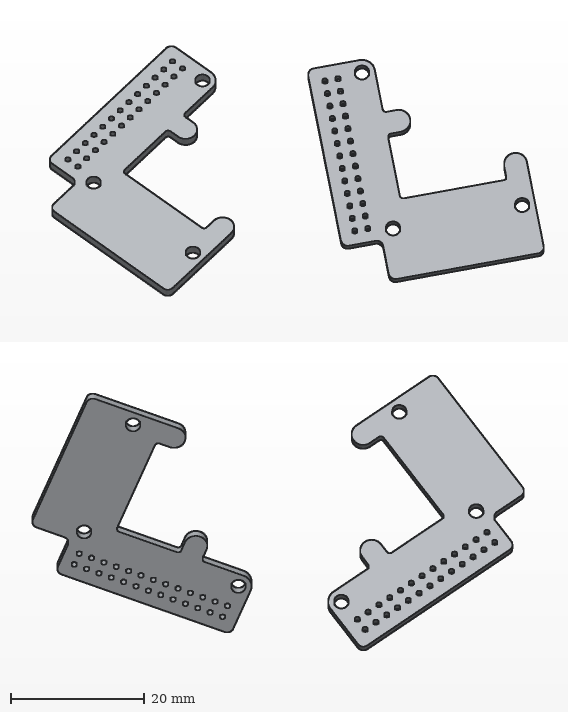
import cadquery as cq

width = 29.75
height = 34.85
thickness = 1.6

arm_width = 10.0
arm_bottom = 6.5
foot_left = 6.05
foot_top = 12.27

tongue_width = 3.5
tongue_radius = tongue_width / 2
tab_tip = 13.77
tab_center_y = 24.35
finger_tip = 16.18
finger_center_x = width - tongue_radius

outer_radius = 1.0
inner_radius = 0.5

mount_diameter = 2.2
mount_edge_offset = 2.0
mount_left_x = arm_width - mount_edge_offset
mount_right_x = width - mount_edge_offset
mount_top_y = height - mount_edge_offset
mount_bottom_y = 7.9

pin_diameter = 0.8
pin_rows = 13
pin_columns = 2
pin_span = 24.0
pin_pitch = pin_span / (pin_rows - 1)
pin_first_x = 2.3
pin_first_y = 8.6


def block(left, bottom, right, top):
    """Full-thickness rectangular block between two opposite corners."""
    return cq.Workplane("XY").box(
        right - left, top - bottom, thickness, centered=False
    ).translate((left, bottom, 0))


def disc(x, y, radius):
    """Full-thickness round end of a tongue."""
    return cq.Workplane("XY").center(x, y).circle(radius).extrude(thickness)


def round_corners(body, corners, radius):
    """Fillet the vertical edges standing at the given corners."""
    for x, y in corners:
        nearest = cq.selectors.NearestToPointSelector((x, y, thickness / 2))
        body = body.edges("|Z").edges(nearest).fillet(radius)
    return body


plate = block(0, arm_bottom, arm_width, height)
plate = plate.union(block(foot_left, 0, width, foot_top))

tab_bottom = tab_center_y - tongue_radius
tab_top = tab_center_y + tongue_radius
tab_end_x = tab_tip - tongue_radius
plate = plate.union(block(foot_left, tab_bottom, tab_end_x, tab_top))
plate = plate.union(disc(tab_end_x, tab_center_y, tongue_radius))

finger_left = width - tongue_width
finger_end_y = finger_tip - tongue_radius
plate = plate.union(block(finger_left, 0, width, finger_end_y))
plate = plate.union(disc(finger_center_x, finger_end_y, tongue_radius)).clean()

outer_corners = [
    (0, height),
    (0, arm_bottom),
    (foot_left, arm_bottom),
    (foot_left, 0),
    (width, 0),
]
inner_corners = [
    (arm_width, tab_top),
    (arm_width, tab_bottom),
    (arm_width, foot_top),
    (finger_left, foot_top),
]
plate = round_corners(plate, outer_corners, outer_radius)
plate = round_corners(plate, inner_corners, inner_radius)
plate = round_corners(plate, [(arm_width, height)], mount_edge_offset)

mount_points = [
    (mount_left_x, mount_top_y),
    (mount_left_x, mount_bottom_y),
    (mount_right_x, mount_bottom_y),
]
pin_points = [
    (pin_first_x + column * pin_pitch, pin_first_y + row * pin_pitch)
    for column in range(pin_columns)
    for row in range(pin_rows)
]
mount_holes = cq.Workplane("XY").pushPoints(mount_points).circle(mount_diameter / 2).extrude(thickness)
pin_holes = cq.Workplane("XY").pushPoints(pin_points).circle(pin_diameter / 2).extrude(thickness)

result = plate.cut(mount_holes).cut(pin_holes)